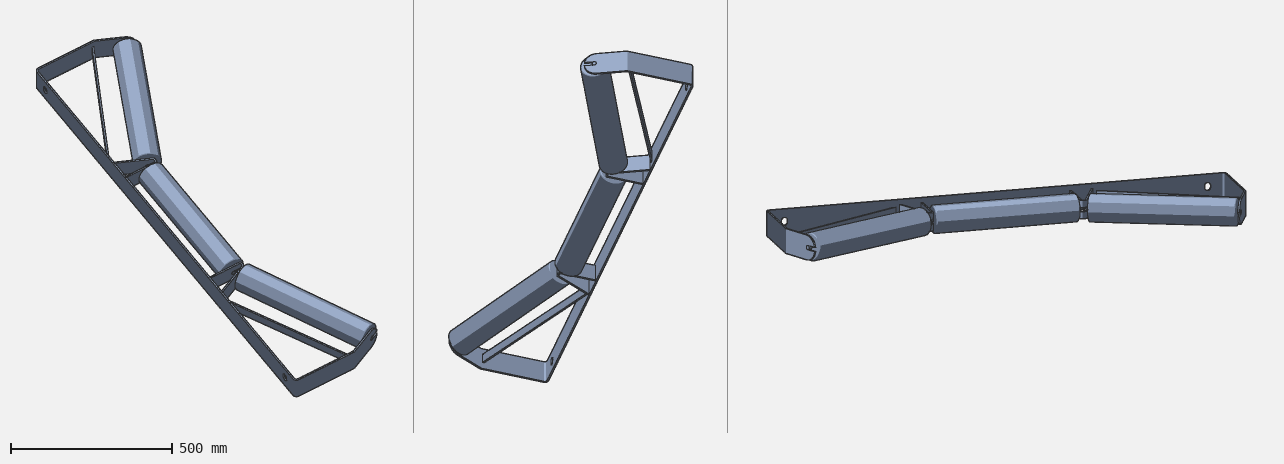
import cadquery as cq
import math

WIDTH = 1490.0
STRIP_THICKNESS = 5.5
STRIP_HEIGHT = 80.0
FRAME_BEND_RADIUS = 7.0
TIP_RADIUS = 39.0
ARM_OVERHANG = 31.0

MOUNT_INSET = 60.0
MOUNT_WIDTH = 20.0
MOUNT_LENGTH = 25.0

ROLLER_DIAMETER = 90.0
ROLLER_LENGTH = 465.0
ROLLER_END_FILLET = 5.0
SHAFT_DIAMETER = 13.0
END_GAP = 5.2

SIDE_ANGLE = math.radians(25)
SIDE_CENTER_X = 481.0
SIDE_CENTER_Y = 209.0
INNER_SEAT_Z = -5.2
OUTER_SEAT_Z = 0.7
MIDDLE_AXIS_Y = 97.0

BRACKET_TOP_Y = 127.0
BRACKET_BEND_RADIUS = 1.0
BRACKET_HEIGHT = 60.0
BRACE_HEIGHT = 33.0
BRACE_FRAME_Y = 215.0
BRACE_FOOT_X = 325.0

COS = math.cos(SIDE_ANGLE)
SIN = math.sin(SIDE_ANGLE)
HALF = WIDTH / 2


def side_point(along, up):
    """Point in the left side roller's own axes: along the axis outward, and up the arm."""
    return (-SIDE_CENTER_X - along * COS + up * SIN, SIDE_CENTER_Y + along * SIN + up * COS)


def mitred_offset(path, distance):
    """Open path moved sideways to its left by a distance, with mitred corners."""
    headings = [math.atan2(b[1] - a[1], b[0] - a[0]) for a, b in zip(path, path[1:])]
    before = [headings[0]] + headings
    after = headings + [headings[-1]]
    moved = []
    for (x, y), first, second in zip(path, before, after):
        middle = (first + second) / 2
        reach = distance / math.cos((second - first) / 2)
        moved.append((x - reach * math.sin(middle), y + reach * math.cos(middle)))
    return moved


def bent_strip(path, height, bend_radius):
    """Strip on edge, to the left of a path, with rounded bends at the path's inner points."""
    other_side = mitred_offset(path, STRIP_THICKNESS)
    outline = path + other_side[::-1]
    strip = cq.Workplane("XY").polyline(outline).close().extrude(height / 2, both=True)
    turns = list(zip(path, other_side))[1:-1]
    for index, (right, left) in enumerate(turns, start=1):
        before, corner, after = path[index - 1:index + 2]
        cross = ((corner[0] - before[0]) * (after[1] - corner[1])
                 - (corner[1] - before[1]) * (after[0] - corner[0]))
        inside, outside = (left, right) if cross > 0 else (right, left)
        strip = strip.edges(cq.NearestToPointSelector((*inside, 0))).fillet(bend_radius)
        strip = strip.edges(cq.NearestToPointSelector((*outside, 0))).fillet(bend_radius + STRIP_THICKNESS)
    return strip


def mirrored(points):
    """Points mirrored to the right half, in the order that continues the path."""
    return [(-x, y) for x, y in reversed(points)]


NEAR_FACE = ROLLER_LENGTH / 2 + END_GAP
FAR_FACE = NEAR_FACE + STRIP_THICKNESS
STRIP_MIDDLE = NEAR_FACE + STRIP_THICKNESS / 2

tilt = math.atan((OUTER_SEAT_Z - INNER_SEAT_Z) / ROLLER_LENGTH)
side_center = cq.Vector(-SIDE_CENTER_X, SIDE_CENTER_Y, (OUTER_SEAT_Z + INNER_SEAT_Z) / 2)
side_plane = cq.Plane(
    origin=side_center,
    xDir=(SIN, COS, 0),
    normal=(-COS * math.cos(tilt), SIN * math.cos(tilt), math.sin(tilt)),
)
middle_plane = cq.Plane(origin=(0, MIDDLE_AXIS_Y, INNER_SEAT_Z), xDir=(0, 1, 0), normal=(-1, 0, 0))


def make_roller(plane):
    """Roller centred on a plane whose normal is its axis, with a shaft flush with the supports."""
    drum = (
        cq.Workplane(plane).workplane(offset=-ROLLER_LENGTH / 2)
        .circle(ROLLER_DIAMETER / 2).extrude(ROLLER_LENGTH)
        .edges("%CIRCLE").fillet(ROLLER_END_FILLET)
    )
    shaft = cq.Workplane(plane).circle(SHAFT_DIAMETER / 2).extrude(FAR_FACE, both=True)
    return drum.union(shaft)


def shaft_slot(plane, center):
    """Cutter for a slot that seats the shaft at a place on its axis and opens upward."""
    reach = 2 * ARM_OVERHANG
    depth = 2 * STRIP_THICKNESS
    seat = cq.Workplane(plane).workplane(offset=center).circle(SHAFT_DIAMETER / 2)
    seat = seat.extrude(depth / 2, both=True)
    opening = cq.Workplane(plane).workplane(offset=center).center(reach / 2, 0)
    opening = opening.rect(reach, SHAFT_DIAMETER).extrude(depth / 2, both=True)
    return seat.union(opening)


arm_slot = shaft_slot(side_plane, STRIP_MIDDLE)
side_bracket_slot = shaft_slot(side_plane, -STRIP_MIDDLE)
middle_bracket_slot = shaft_slot(middle_plane, STRIP_MIDDLE)


def make_frame():
    """Base strip with upturned ends, each bent inward into a slotted arm."""
    bend_up = (-HALF - side_point(FAR_FACE, 0)[0]) / SIN
    bend = side_point(FAR_FACE, bend_up)
    left = [side_point(FAR_FACE, ARM_OVERHANG), bend, (-HALF, 0)]
    frame = bent_strip(left + mirrored(left), STRIP_HEIGHT, FRAME_BEND_RADIUS)

    tip = side_point(STRIP_MIDDLE, ARM_OVERHANG)
    for side in (-1, 1):
        for end in (-1, 1):
            corner = (side * tip[0], tip[1], end * STRIP_HEIGHT / 2)
            frame = frame.edges(cq.NearestToPointSelector(corner)).fillet(TIP_RADIUS)

    mounts = (
        cq.Workplane("XZ").pushPoints([(MOUNT_INSET - HALF, 0), (HALF - MOUNT_INSET, 0)])
        .slot2D(MOUNT_LENGTH, MOUNT_WIDTH, 90).extrude(-STRIP_THICKNESS)
    )
    return frame.cut(mounts).cut(arm_slot).cut(arm_slot.mirror("YZ"))


def make_bracket():
    """Left bracket: a sloped leg for the side roller and an upright leg for the middle one."""
    axis_y = side_point(-NEAR_FACE, 0)[1]
    top_up = (BRACKET_TOP_Y - axis_y) / COS
    foot_up = (STRIP_THICKNESS - axis_y) / COS
    path = [
        (-NEAR_FACE, STRIP_THICKNESS),
        (-NEAR_FACE, BRACKET_TOP_Y),
        side_point(-NEAR_FACE, top_up),
        side_point(-NEAR_FACE, foot_up),
    ]
    bracket = bent_strip(path, BRACKET_HEIGHT, BRACKET_BEND_RADIUS).translate((0, 0, INNER_SEAT_Z))
    trim = cq.Workplane("XY").rect(WIDTH, 2 * STRIP_THICKNESS).extrude(STRIP_HEIGHT, both=True)
    return bracket.cut(trim).cut(side_bracket_slot).cut(middle_bracket_slot)


def make_brace():
    """Left brace: a sloped strip between the frame's upright and its base."""
    top = (STRIP_THICKNESS - HALF, BRACE_FRAME_Y)
    foot = (-BRACE_FOOT_X, STRIP_THICKNESS)
    slope = math.atan2(top[1] - foot[1], foot[0] - top[0])
    low_top = (top[0], top[1] - STRIP_THICKNESS / math.cos(slope))
    low_foot = (foot[0] - STRIP_THICKNESS / math.sin(slope), foot[1])
    outline = cq.Workplane("XY").polyline([top, foot, low_foot, low_top]).close()
    return outline.extrude(BRACE_HEIGHT / 2, both=True)


frame = make_frame()
bracket = make_bracket()
brace = make_brace()
side_roller = make_roller(side_plane)
middle_roller = make_roller(middle_plane)

bodies = [frame.val(), middle_roller.val()]
for left_body in (bracket, brace, side_roller):
    bodies.append(left_body.val())
    bodies.append(left_body.mirror("YZ").val())
result = cq.Compound.makeCompound(bodies)